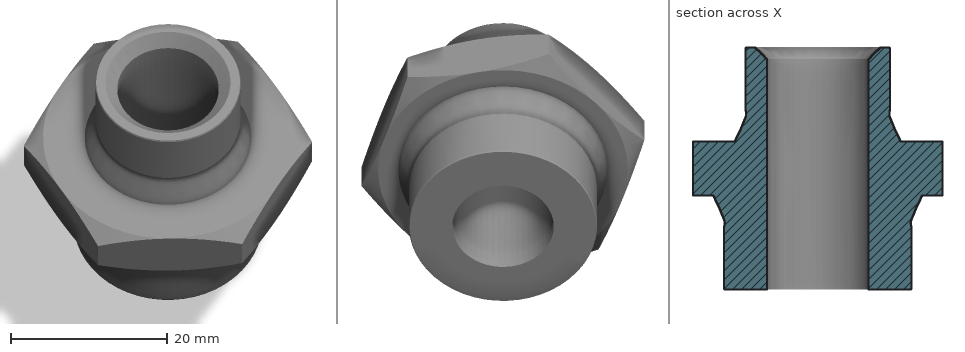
import cadquery as cq
import math

hex_sides = 6
hex_across_flats = 32.0
hex_height = 7.0
hex_chamfer_angle = 30.0

spigot_length = 12.0
cylinder_length = 8.0
cone_height = 3.0
cone_angle = 24.0
rim_chamfer_height = 0.2
rim_chamfer_width = 0.1
upper_diameter = 18.63
lower_diameter = 24.12

bore_diameter = 13.0
countersink_diameter = 16.0
countersink_angle = 45.0

total_height = hex_height + 2 * spigot_length
hex_bottom = spigot_length
hex_top = hex_bottom + hex_height


def tan_deg(angle):
    return math.tan(math.radians(angle))


def make_spigot(diameter):
    """Spigot along +Z, with the root on Z = 0 and the free end on top."""
    radius = diameter / 2
    cylinder_base = spigot_length - cylinder_length

    groove_half_width = (cylinder_base - cone_height) / 2
    groove_depth = groove_half_width * tan_deg(cone_angle / 2)
    groove_floor = (radius - groove_depth, cone_height + groove_half_width)
    root_radius = radius + cone_height * tan_deg(cone_angle)
    return (
        cq.Workplane("XZ")
        .lineTo(root_radius, 0)
        .lineTo(radius, cone_height)
        .threePointArc(groove_floor, (radius, cylinder_base))
        .lineTo(radius, spigot_length - rim_chamfer_height)
        .lineTo(radius - rim_chamfer_width, spigot_length)
        .lineTo(0, spigot_length)
        .close()
        .revolve(360, (0, 0, 0), (0, 1, 0))
    )


def make_hexagon():
    """Hexagon with flats facing +-Y and conically chamfered corners."""
    half_side_angle = math.pi / hex_sides
    across_corners = hex_across_flats / math.cos(half_side_angle)
    flat_radius = hex_across_flats / 2
    corner_radius = across_corners / 2
    chamfer_height = (corner_radius - flat_radius) * tan_deg(hex_chamfer_angle)
    prism = (
        cq.Workplane("XY")
        .workplane(offset=hex_bottom)
        .polygon(hex_sides, across_corners)
        .extrude(hex_height)
    )
    envelope = (
        cq.Workplane("XZ")
        .moveTo(0, hex_bottom)
        .lineTo(flat_radius, hex_bottom)
        .lineTo(corner_radius, hex_bottom + chamfer_height)
        .lineTo(corner_radius, hex_top - chamfer_height)
        .lineTo(flat_radius, hex_top)
        .lineTo(0, hex_top)
        .close()
        .revolve(360, (0, 0, 0), (0, 1, 0))
    )
    return prism.intersect(envelope)


def make_bore():
    """Through bore with a countersink at the upper end."""
    bore_radius = bore_diameter / 2
    sink_radius = countersink_diameter / 2
    sink_depth = (sink_radius - bore_radius) / tan_deg(countersink_angle)
    return (
        cq.Workplane("XZ")
        .lineTo(bore_radius, 0)
        .lineTo(bore_radius, total_height - sink_depth)
        .lineTo(sink_radius, total_height)
        .lineTo(0, total_height)
        .close()
        .revolve(360, (0, 0, 0), (0, 1, 0))
    )


upper_spigot = make_spigot(upper_diameter).translate((0, 0, hex_top))
lower_spigot = (
    make_spigot(lower_diameter)
    .rotate((0, 0, 0), (1, 0, 0), 180)
    .translate((0, 0, hex_bottom))
)

result = make_hexagon().union(upper_spigot).union(lower_spigot).cut(make_bore())